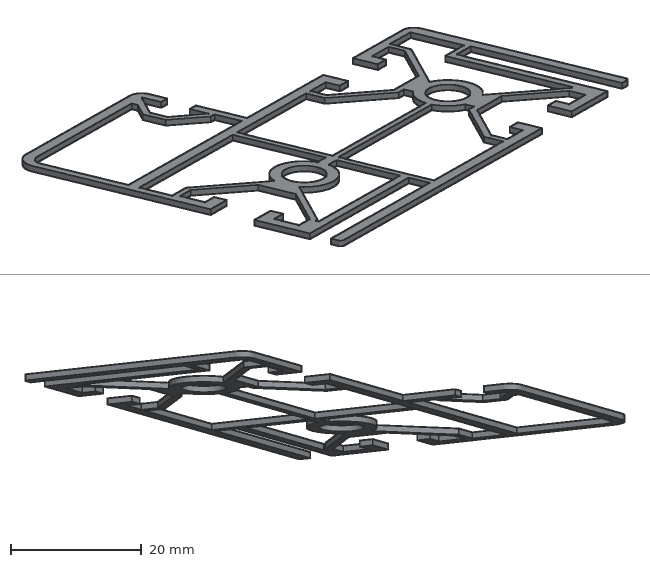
import cadquery as cq
import math

width = 60.0
height = 80.0
thickness = 1.0
core_left = 20.0

wall = 2.0
thin_wall = 1.5
web = 1.2
fine_web = 1.1

boss_x = (core_left + width) / 2
upper_boss_y = 60.0
lower_boss_y = 20.0
boss_radius = 5.4
bore_radius = 3.4
neck_width = 2.0
side_hub_reach = 4.0
bottom_hub_reach = 1.6
hub_bottom = 57.5

slot_depth = 10.4
slot_straight = 3.0
slot_half_width = 10.9
floor_half_width = slot_half_width - (slot_depth - slot_straight)
opening_half_width = 4.0
lower_lip_drop = 0.2
lip_width = 2.3
lip_length = 4.6
right_lip_length = 4.4

channel_left = 32.4
channel_top = height - wall
channel_bottom = 74.0
top_wall_left = 2.2

web_top = 28.7
groove_left = 54.2
inner_leg_width = 1.6

chamber_top = 34.6
seal_lip_depth = 1.8
seal_left = 5.4
seal_right = 10.6
seal_floor_y = 28.2
seal_floor_half_width = 1.6
seal_center_x = 8.0
seal_root_y = 29.8
seal_stub_x = 15.0

chamber_bottom_radius = 3.5
chamber_inner_radius = 2.0
chamber_top_radius = 2.0
top_corner_radius = 2.0
tip_radius = 0.6

bend_shift = math.tan(math.radians(22.5))


def bar(left, bottom, right, top):
    """Rectangular wall given by its limits."""
    block = cq.Workplane("XY").box(right - left, top - bottom, thickness, centered=False)
    return block.translate((left, bottom, 0))


def plate(points):
    """Flat plate with a polygonal outline."""
    return cq.Workplane("XY").polyline(points).close().extrude(thickness)


def disc(y, radius):
    """Round disc on the boss line."""
    return cq.Workplane("XY").center(boss_x, y).circle(radius).extrude(thickness)


def mirrored(points):
    """Outline reflected across the boss line."""
    return [(2 * boss_x - x, y) for x, y in points]


def join(pieces):
    """Fuse a list of bodies into one."""
    body = pieces[0]
    for piece in pieces[1:]:
        body = body.union(piece)
    return body


def round_corner(body, x, y, radius):
    """Round the upright edge at one corner of the outline."""
    nearest = cq.selectors.NearestToPointSelector((x, y, thickness / 2))
    return body.edges("|Z").edges(nearest).fillet(radius)


def side_slot_outline():
    """Left half of the spider around the upper boss, from wall to boss."""
    wall_x = core_left + thin_wall
    elbow_x = core_left + wall + slot_straight
    floor_x = core_left + wall + slot_depth
    slot_top = upper_boss_y + slot_half_width
    slot_bottom = upper_boss_y - slot_half_width
    upper_elbow_x = elbow_x + fine_web * bend_shift
    lower_elbow_x = elbow_x + web * bend_shift
    hub_x = boss_x - side_hub_reach
    step_x = floor_x + web
    return [
        (wall_x, slot_top + fine_web),
        (upper_elbow_x, slot_top + fine_web),
        (hub_x, slot_top + fine_web - (hub_x - upper_elbow_x)),
        (hub_x, hub_bottom),
        (step_x, hub_bottom),
        (step_x, slot_bottom - web + step_x - lower_elbow_x),
        (lower_elbow_x, slot_bottom - web),
        (wall_x, slot_bottom - web),
        (wall_x, slot_bottom),
        (elbow_x, slot_bottom),
        (floor_x, upper_boss_y - floor_half_width),
        (floor_x, upper_boss_y + floor_half_width),
        (elbow_x, slot_top),
        (wall_x, slot_top),
    ]


def bottom_slot_outline():
    """Left half of the arms under the lower boss."""
    inner_x = boss_x - slot_half_width
    outer_x = inner_x - fine_web
    elbow_y = wall + slot_straight
    outer_elbow_y = elbow_y + fine_web * bend_shift
    hub_x = boss_x - bottom_hub_reach
    hub_y = outer_elbow_y + hub_x - outer_x
    floor_y = wall + slot_depth
    return [
        (outer_x, 0),
        (outer_x, outer_elbow_y),
        (hub_x, hub_y),
        (boss_x, hub_y),
        (boss_x, floor_y),
        (boss_x - floor_half_width, floor_y),
        (inner_x, elbow_y),
        (inner_x, 0),
    ]


def core_walls():
    """Long left and right walls with the lips of the side slots."""
    upper_lip = upper_boss_y + opening_half_width
    lower_lip = upper_boss_y - opening_half_width - lower_lip_drop
    slot_top = upper_boss_y + slot_half_width
    pieces = [
        bar(core_left, upper_lip, core_left + thin_wall, height),
        bar(core_left, upper_lip, core_left + wall, slot_top),
        bar(core_left, 0, core_left + wall, lower_lip),
        bar(width - wall, upper_lip, width, channel_bottom),
        bar(width - wall, 0, width, lower_lip),
    ]
    for bottom in (upper_lip, lower_lip - lip_width):
        pieces.append(bar(core_left, bottom, core_left + lip_length, bottom + lip_width))
        pieces.append(bar(width - right_lip_length, bottom, width, bottom + lip_width))
    return join(pieces)


def top_channel():
    """Top wall, channel shelf and the solid corner above the right slot."""
    step_x = channel_left - fine_web
    shelf_bottom = channel_bottom - thin_wall
    slot_top = upper_boss_y + slot_half_width
    block_left = width - wall - slot_straight - fine_web * bend_shift
    return join([
        bar(core_left, channel_top, width, height),
        bar(core_left, height - top_wall_left, channel_left, height),
        bar(step_x, shelf_bottom, channel_left, height),
        bar(step_x, shelf_bottom, width, channel_bottom),
        bar(block_left, slot_top + fine_web, width, channel_bottom),
        bar(width - wall - slot_straight, slot_top, width, channel_bottom),
    ])


def bosses_and_webs():
    """Solid bosses with the arms and webs that carry them."""
    web_bottom = web_top - web
    return join([
        disc(upper_boss_y, boss_radius),
        disc(lower_boss_y, boss_radius),
        bar(boss_x - fine_web / 2, web_top, boss_x + fine_web / 2, upper_boss_y),
        bar(boss_x - neck_width / 2, lower_boss_y, boss_x + neck_width / 2, web_top),
        bar(core_left, web_bottom, width, web_top),
        plate(side_slot_outline()),
        plate(mirrored(side_slot_outline())),
        plate(bottom_slot_outline()),
        plate(mirrored(bottom_slot_outline())),
    ])


def bottom_walls():
    """Bottom wall, bottom slot lips and the leg beside the groove."""
    slot_left = boss_x - slot_half_width
    slot_right = boss_x + slot_half_width
    left_lip = boss_x - opening_half_width
    right_lip = boss_x + opening_half_width
    return join([
        bar(0, 0, left_lip, thin_wall),
        bar(slot_left - fine_web, 0, slot_left, wall),
        bar(slot_left, 0, left_lip, wall),
        bar(left_lip - lip_width, 0, left_lip, lip_length),
        bar(right_lip, 0, right_lip + lip_width, lip_length),
        bar(right_lip, 0, groove_left, wall),
        bar(slot_right, 0, groove_left, wall + slot_straight),
        bar(groove_left - inner_leg_width, 0, groove_left, web_top),
    ])


def seal_pocket():
    """V-shaped web hanging below the seal lips."""
    lip_bottom = chamber_top - seal_lip_depth
    rise = lip_bottom - seal_floor_y
    floor_left = seal_center_x - seal_floor_half_width
    floor_right = seal_center_x + seal_floor_half_width
    outer_left = floor_left - web * bend_shift
    outer_right = floor_right + web * bend_shift
    outer_floor_y = seal_floor_y - web
    return plate([
        (0, lip_bottom),
        (wall, lip_bottom),
        (wall, seal_floor_y + floor_left - wall),
        (floor_left, seal_floor_y),
        (floor_right, seal_floor_y),
        (floor_right + rise, lip_bottom),
        (seal_stub_x, lip_bottom),
        (seal_stub_x, outer_floor_y + seal_stub_x - outer_right),
        (outer_right, outer_floor_y),
        (outer_left, outer_floor_y),
        (outer_left - (seal_root_y - outer_floor_y), seal_root_y),
        (0, seal_root_y),
    ])


def side_chamber():
    """Left chamber wall, seal lips and seal pocket."""
    lip_bottom = chamber_top - seal_lip_depth
    return join([
        bar(0, 0, wall, chamber_top),
        bar(0, lip_bottom, seal_left, chamber_top),
        bar(seal_right, lip_bottom, seal_stub_x, chamber_top),
        bar(seal_right, chamber_top - thin_wall, core_left, chamber_top),
        seal_pocket(),
    ])


profile = join([core_walls(), top_channel(), bosses_and_webs(), bottom_walls(), side_chamber()])

for boss_y in (upper_boss_y, lower_boss_y):
    profile = profile.cut(disc(boss_y, bore_radius))

profile = profile.clean()

rounded_corners = [
    (0, 0, chamber_bottom_radius),
    (wall, thin_wall, chamber_inner_radius),
    (0, chamber_top, chamber_top_radius),
    (core_left, height, top_corner_radius),
    (width, height, tip_radius),
    (width, 0, tip_radius),
]
for corner_x, corner_y, corner_radius in rounded_corners:
    profile = round_corner(profile, corner_x, corner_y, corner_radius)

result = profile